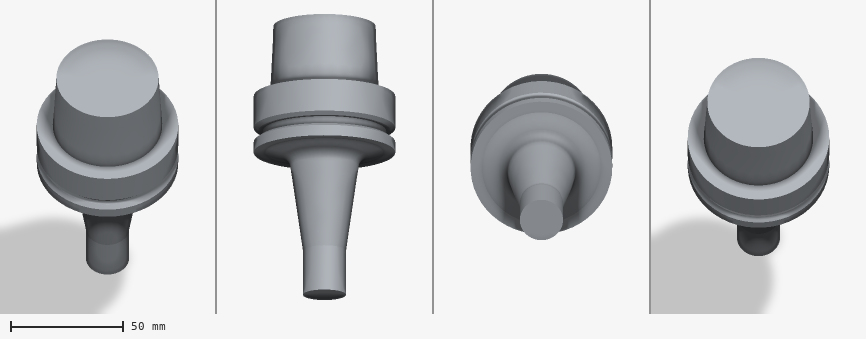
import cadquery as cq
import math

total_length = 122.9

nose_radius = 19.2 / 2
nose_top = 20.3

neck_top_radius = 15.2
neck_top = 59.1
fillet_radius = 4.9
flare_outer_radius = 26.4

flange_radius = 62.9 / 2
flange_bottom = 65.1
lower_rim_height = 4.8
flange_top = 91.0
upper_rim_height = 14.5
groove_radius = 55.0 / 2
groove_bottom = 71.3
groove_top = 75.0
bevel_inner_radius = 29.5

shank_base_radius = 24.3
shank_top_radius = 22.7

lower_rim_top = flange_bottom + lower_rim_height
upper_rim_bottom = flange_top - upper_rim_height

neck_angle = math.atan2(neck_top_radius - nose_radius, neck_top - nose_top)
flare_angle = math.radians(15)
arc_center_r = neck_top_radius + fillet_radius * math.cos(neck_angle)
arc_center_z = neck_top - fillet_radius * math.sin(neck_angle)


def arc_point(angle):
    """Point on the fillet arc, with the angle measured from the radial axis."""
    return (
        arc_center_r + fillet_radius * math.cos(angle),
        arc_center_z + fillet_radius * math.sin(angle),
    )


arc_start_angle = math.pi - neck_angle
arc_end_angle = math.pi / 2 + flare_angle
arc_middle = arc_point((arc_start_angle + arc_end_angle) / 2)
arc_end = arc_point(arc_end_angle)

profile = (
    cq.Workplane("XZ")
    .moveTo(0, 0)
    .lineTo(nose_radius, 0)
    .lineTo(nose_radius, nose_top)
    .lineTo(neck_top_radius, neck_top)
    .threePointArc(arc_middle, arc_end)
    .lineTo(flare_outer_radius, flange_bottom)
    .lineTo(flange_radius, flange_bottom)
    .lineTo(flange_radius, lower_rim_top)
    .lineTo(bevel_inner_radius, groove_bottom)
    .lineTo(groove_radius, groove_bottom)
    .lineTo(groove_radius, groove_top)
    .lineTo(bevel_inner_radius, groove_top)
    .lineTo(flange_radius, upper_rim_bottom)
    .lineTo(flange_radius, flange_top)
    .lineTo(shank_base_radius, flange_top)
    .lineTo(shank_top_radius, total_length)
    .lineTo(0, total_length)
    .close()
)
result = profile.revolve(360, (0, 0, 0), (0, 1, 0))